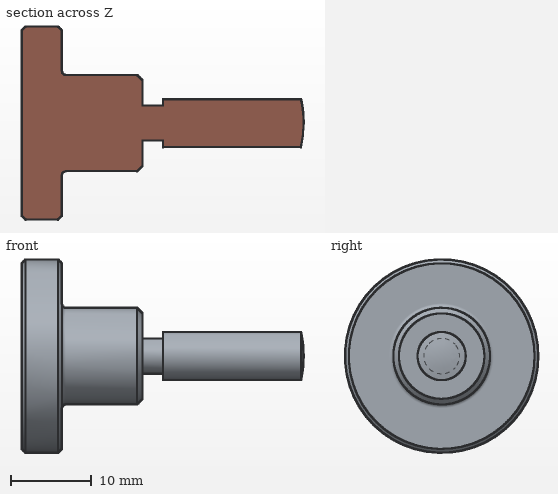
import cadquery as cq

head_thickness = 5.0
hub_end = 15.0
neck_end = 17.5
total_length = 34.97

head_diameter = 24.0
hub_diameter = 12.0
neck_diameter = 4.4
shaft_diameter = 5.98

head_chamfer = 0.5
hub_chamfer = 0.7
hub_base_fillet = 0.5
dome_height = 0.332

head_radius = head_diameter / 2
hub_radius = hub_diameter / 2
neck_radius = neck_diameter / 2
shaft_radius = shaft_diameter / 2
shaft_shoulder = total_length - dome_height

dome_radius = (shaft_radius**2 + dome_height**2) / (2 * dome_height)
dome_centre = total_length - dome_radius
dome_mid_radius = shaft_radius / 2
dome_mid_x = dome_centre + (dome_radius**2 - dome_mid_radius**2) ** 0.5

profile = (
    cq.Workplane("XY")
    .moveTo(0, 0)
    .lineTo(0, head_radius - head_chamfer)
    .lineTo(head_chamfer, head_radius)
    .lineTo(head_thickness - head_chamfer, head_radius)
    .lineTo(head_thickness, head_radius - head_chamfer)
    .lineTo(head_thickness, hub_radius + hub_base_fillet)
    .radiusArc((head_thickness + hub_base_fillet, hub_radius), -hub_base_fillet)
    .lineTo(hub_end - hub_chamfer, hub_radius)
    .lineTo(hub_end, hub_radius - hub_chamfer)
    .lineTo(hub_end, neck_radius)
    .lineTo(neck_end, neck_radius)
    .lineTo(neck_end, shaft_radius)
    .lineTo(shaft_shoulder, shaft_radius)
    .threePointArc((dome_mid_x, dome_mid_radius), (total_length, 0))
    .close()
)

result = profile.revolve(360, (0, 0, 0), (1, 0, 0))